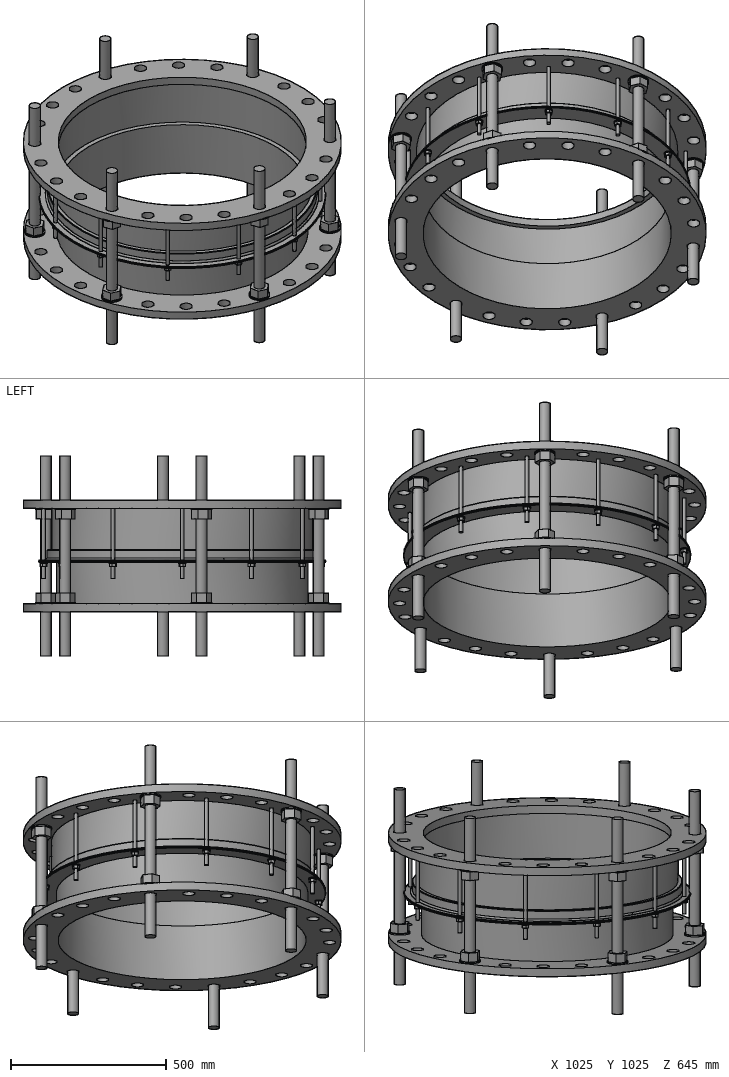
import cadquery as cq
import math

flange_diameter = 1025.0
flange_bore = 800.0
flange_thickness = 27.0
flange_inner_z = 154.0
upper_pipe_outer = 843.0
upper_pipe_inner = 832.0
lower_pipe_outer = 812.0
lower_pipe_top_z = 2.0

collar_diameter = 871.0
collar_top_z = 20.0
collar_bottom_z = -7.0
gland_lip_diameter = 884.0
gland_lip_round = 5.0
gland_diameter = 927.0
gland_top_z = -13.0
gland_bottom_z = -20.0
edge_chamfer = 2.0

hole_count = 24
hole_circle_diameter = 951.0
hole_diameter = 39.0
rod_spacing_in_holes = 4
rod_count = hole_count // rod_spacing_in_holes
first_hole_angle = 360 / hole_count / 2
rod_diameter = 36.0
rod_length = 645.0

rod_nut_across_flats = 55.0
rod_nut_height = 30.0
rod_washer_diameter = 67.0
rod_washer_thickness = 4.0
upper_nut_turn = 32.0
lower_nut_turn = 22.0

stud_count = 12
first_stud_angle = 0.0
stud_circle_diameter = 894.0
stud_diameter = 12.0
stud_bottom_z = -72.0
stud_nut_across_flats = 19.0
stud_nut_height = 10.0
stud_washer_diameter = 25.0
stud_washer_thickness = 3.0
stud_nut_turn = 15.0

hexagon_sides = 6
hexagon_flats_to_corners = 1 / math.cos(math.pi / hexagon_sides)
outer_edge = cq.selectors.RadiusNthSelector(-1)


def cylinder(diameter, bottom, top):
    return cq.Workplane("XY").workplane(offset=bottom).circle(diameter / 2).extrude(top - bottom)


def ring(outer, inner, bottom, top):
    return (
        cq.Workplane("XY").workplane(offset=bottom)
        .circle(outer / 2).circle(inner / 2).extrude(top - bottom)
    )


def hex_nut(across_flats, bottom, top, turn):
    corners = across_flats * hexagon_flats_to_corners
    nut = cq.Workplane("XY").workplane(offset=bottom).polygon(hexagon_sides, corners).extrude(top - bottom)
    return nut.rotate((0, 0, 0), (0, 0, 1), turn)


def around_axis(shape, circle_diameter, count, first_angle):
    """Copies of a shape on a circle, each turned to face the main axis."""
    outward = shape.translate((circle_diameter / 2, 0, 0))
    return [
        outward.rotate((0, 0, 0), (0, 0, 1), first_angle + i * 360 / count)
        for i in range(count)
    ]


def flange(bottom):
    top = bottom + flange_thickness
    plate = ring(flange_diameter, flange_bore, bottom, top)
    hole = cylinder(hole_diameter, bottom, top)
    for placed_hole in around_axis(hole, hole_circle_diameter, hole_count, first_hole_angle):
        plate = plate.cut(placed_hole)
    return plate


def sleeve():
    """Both pipes with the collar, seal and gland between them."""
    upper_pipe = ring(upper_pipe_outer, upper_pipe_inner, collar_bottom_z, flange_inner_z)
    lower_pipe = ring(lower_pipe_outer, flange_bore, -flange_inner_z, lower_pipe_top_z)

    collar = ring(collar_diameter, upper_pipe_inner, collar_bottom_z, collar_top_z)
    collar = collar.faces(">Z").edges(outer_edge).chamfer(edge_chamfer)

    gland_lip = ring(gland_lip_diameter, flange_bore, gland_top_z, collar_bottom_z)
    gland_lip = gland_lip.faces(">Z").edges(outer_edge).fillet(gland_lip_round)

    gland = ring(gland_diameter, flange_bore, gland_bottom_z, gland_top_z)
    gland = gland.faces("|Z").edges(outer_edge).chamfer(edge_chamfer)

    seal = ring(upper_pipe_inner, flange_bore, gland_bottom_z, lower_pipe_top_z)

    return upper_pipe.union(collar).union(seal).union(gland_lip).union(gland).union(lower_pipe)


def tie_rod():
    washer_face = flange_inner_z - rod_washer_thickness
    nut_end = washer_face - rod_nut_height
    return (
        cylinder(rod_diameter, -rod_length / 2, rod_length / 2)
        .union(cylinder(rod_washer_diameter, washer_face, flange_inner_z))
        .union(cylinder(rod_washer_diameter, -flange_inner_z, -washer_face))
        .union(hex_nut(rod_nut_across_flats, nut_end, washer_face, upper_nut_turn))
        .union(hex_nut(rod_nut_across_flats, -washer_face, -nut_end, lower_nut_turn))
    )


def gland_stud():
    washer_face = gland_bottom_z - stud_washer_thickness
    nut_end = washer_face - stud_nut_height
    return (
        cylinder(stud_diameter, stud_bottom_z, flange_inner_z)
        .union(cylinder(stud_washer_diameter, washer_face, gland_bottom_z))
        .union(hex_nut(stud_nut_across_flats, nut_end, washer_face, stud_nut_turn))
    )


result = sleeve().union(flange(flange_inner_z)).union(flange(-flange_inner_z - flange_thickness))
for placed_rod in around_axis(tie_rod(), hole_circle_diameter, rod_count, first_hole_angle):
    result = result.union(placed_rod)
for placed_stud in around_axis(gland_stud(), stud_circle_diameter, stud_count, first_stud_angle):
    result = result.union(placed_stud)